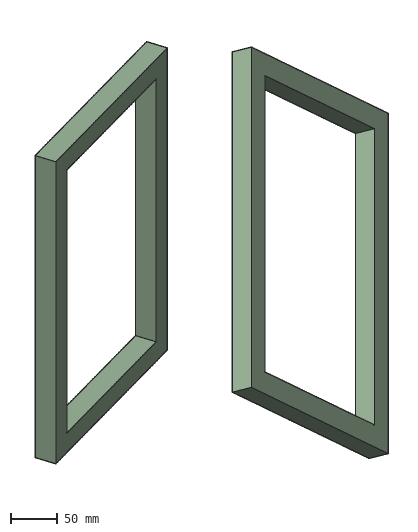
import cadquery as cq

frame_height = 391.0
frame_width = 251.0
bar_size = 25.5

opening_height = frame_height - 2 * bar_size
opening_width = frame_width - 2 * bar_size

outer_block = cq.Workplane("XY").box(bar_size, frame_width, frame_height)
opening = cq.Workplane("XY").box(bar_size, opening_width, opening_height)

result = outer_block.cut(opening)